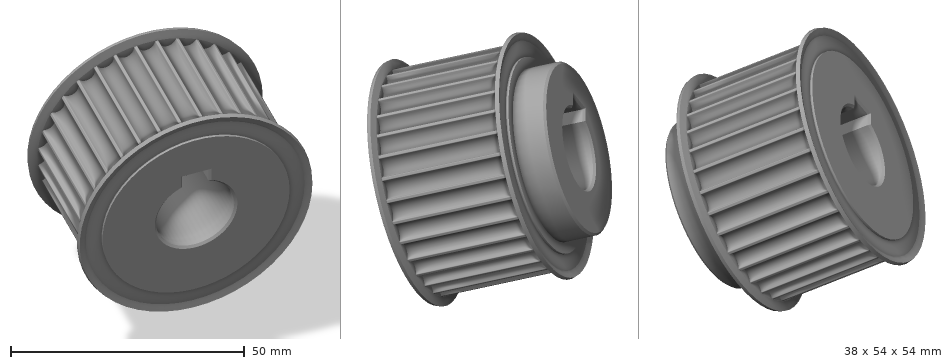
import cadquery as cq
import math

total_length = 38.0
hub_length = 7.5
hub_diameter = 38.0
edge_chamfer = 0.5

tooth_count = 32
tip_diameter = 49.8
groove_radius = 2.0
tip_fillet = 0.15
flank_angle = math.radians(20)

flange_diameter = 54.0
flange_bore = 43.0
flange_bend_diameter = 50.3
flange_thickness = 0.9
flare_angle = math.radians(17)

bore_diameter = 18.0
key_width = 6.0
key_top = 11.55

flange_radius = flange_diameter / 2
outer_bend_radius = flange_bend_diameter / 2
inner_bend_radius = outer_bend_radius - flange_thickness * math.tan(flare_angle / 2)
crest_offset = (flange_radius - inner_bend_radius) * math.tan(flare_angle)
lip_radius = flange_radius - flange_thickness * math.sin(flare_angle)
lip_offset = crest_offset + flange_thickness * math.cos(flare_angle)

tooth_start = hub_length + lip_offset
tooth_end = total_length - lip_offset


def polar(radius, angle):
    return (radius * math.cos(angle), radius * math.sin(angle))


def to_polar(y, z):
    return (math.hypot(y, z), math.atan2(z, y))


def toothed_rim():
    """Rim with round grooves centred on the tip circle, straight flanks and rounded tooth tips.

    Points are (radius, angle from the groove's own axis) until they are turned to each groove.
    """
    tip_radius = tip_diameter / 2
    root_radius = tip_radius - groove_radius
    pitch_angle = 2 * math.pi / tooth_count

    flank_foot = to_polar(
        tip_radius - groove_radius * math.sin(flank_angle),
        groove_radius * math.cos(flank_angle),
    )

    fillet_center_radius = tip_radius - tip_fillet
    flank_distance = groove_radius + tip_fillet - tip_radius * math.sin(flank_angle)
    fillet_angle = flank_angle + math.asin(flank_distance / fillet_center_radius)
    fillet_y, fillet_z = polar(fillet_center_radius, fillet_angle)

    def on_fillet(direction):
        step_y, step_z = polar(tip_fillet, direction)
        return to_polar(fillet_y + step_y, fillet_z + step_z)

    toward_flank = flank_angle - math.pi / 2
    flank_head = on_fillet(toward_flank)
    fillet_middle = on_fillet((toward_flank + fillet_angle) / 2)
    land_edge = (tip_radius, fillet_angle)

    def place(point, axis, side):
        radius, angle = point
        return polar(radius, axis + side * angle)

    outline = cq.Workplane("YZ", origin=(tooth_start, 0, 0)).moveTo(*place(flank_foot, 0, -1))
    for index in range(tooth_count):
        axis = index * pitch_angle
        next_axis = axis + pitch_angle
        outline = (
            outline
            .threePointArc(polar(root_radius, axis), place(flank_foot, axis, 1))
            .lineTo(*place(flank_head, axis, 1))
            .threePointArc(place(fillet_middle, axis, 1), place(land_edge, axis, 1))
            .threePointArc(polar(tip_radius, axis + pitch_angle / 2), place(land_edge, next_axis, -1))
            .threePointArc(place(fillet_middle, next_axis, -1), place(flank_head, next_axis, -1))
            .lineTo(*place(flank_foot, next_axis, -1))
        )
    return outline.close().extrude(tooth_end - tooth_start)


def disc(start, end, diameter):
    return cq.Workplane("YZ", origin=(start, 0, 0)).circle(diameter / 2).extrude(end - start)


def keyed_bore():
    """Through bore with a keyway on the +Z side."""
    keyway = cq.Workplane("XY").box(total_length, key_width, key_top, centered=(False, True, False))
    return disc(0, total_length, bore_diameter).union(keyway)


def bore_mouth(body, face_selector):
    """Edges where the bore and its keyway open through an end face."""
    return body.faces(face_selector).val().innerWires()[0].Edges()


def make_pulley():
    """Hub, flange shoulders and toothed rim in one body with a keyed bore."""
    hub = disc(0, hub_length, hub_diameter).faces("<X").edges().chamfer(edge_chamfer)
    shoulders = disc(hub_length, total_length, flange_bore)
    body = hub.union(shoulders).union(toothed_rim()).cut(keyed_bore())
    mouth_edges = bore_mouth(body, "<X") + bore_mouth(body, ">X")
    return body.newObject(mouth_edges).chamfer(edge_chamfer)


def make_flange(face_x, outward):
    """Flange whose flat face lies on the teeth at face_x and whose rim leans toward outward (+1 or -1)."""
    profile = [
        (0, flange_bore / 2),
        (0, inner_bend_radius),
        (crest_offset, flange_radius),
        (lip_offset, lip_radius),
        (flange_thickness, outer_bend_radius),
        (flange_thickness, flange_bore / 2),
    ]
    points = [(face_x + outward * offset, radius) for offset, radius in profile]
    return cq.Workplane("XY").polyline(points).close().revolve(360, (0, 0, 0), (1, 0, 0))


pulley = make_pulley()
flanges = [make_flange(tooth_start, -1), make_flange(tooth_end, 1)]
result = cq.Compound.makeCompound([pulley.solids().val(), *[flange.solids().val() for flange in flanges]])